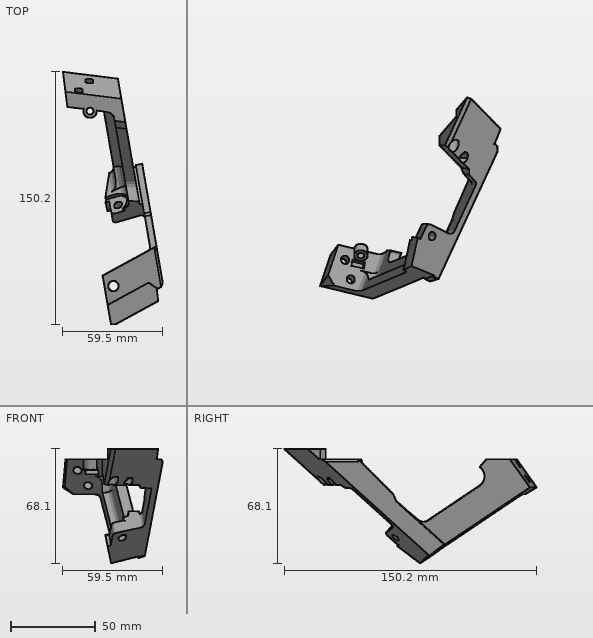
import cadquery as cq
import math


REACH = 400.0
FAR = 80.0

SIDE_ANGLE = 9.8
PLATE_ANGLE = 28.6
ARM_ANGLE = -7.1
CLAMP_SIDE_ANGLE = 7.1

BASE_SLOPE = 43.3
CLAMP_SLOPE = 55.3

PAD_TOP = 68.08
DECK_TOP = 61.9
BASE_ORIGIN = (30.6, -0.35, PAD_TOP)

BLOCK_LEFT = 28.1
FOOT_LEFT = 39.6
LEDGE_LEFT = 45.5
WEB_LEFT = 50.9
ARM_RIGHT = 57.1
RAIL_LEFT = 58.8
RAIL_RIGHT = 62.75

BLOCK_DEPTH = 29.2
PAD_DEPTH = 12.4
PAD_END = ((29.9, PAD_DEPTH), (32.6, 7.1), (29.7, 0), (29.7, -1))
NOSE_X = 30.0
RAIL_EDGE_CHAMFER = 1.5
BACK_CORNER_RADIUS = 2.1
BLOCK_HOLE_D = 6.0
BLOCK_HOLE_AT = (30.0, 22.8)
BLIND_HOLE_D = 5.05
BLIND_HOLE_AT = (39.0, 28.3)
BLIND_HOLE_TOP = 50.9

RAIL_TOP = ((34.0, DECK_TOP), (55.05, 41.2), (56.9, 37.1), (86.1, 11.2))
RAIL_END_FOOT = (77.1, 4.4)
RAIL_START = 34.0
RAIL_BOTTOM = -20.0

FOOT_THICKNESS = 10.3
FOOT_START = 57.0
FOOT_STOP = 115.0
LUG_CORNER = (28.7, 84.3)
LUG_FALL = 0.3
LUG_ANGLE = 60.65
LUG_LEAN = 10.5
FOOT_CORNER_RADIUS = 2.5
FOOT_HOLE_D = 4.92
FOOT_HOLE_AT = (36.1, 77.15)
SPOTFACE_LEVEL = 8.0
SPOTFACE_RADIUS = 6.7

BLOCK_EDGE = ((-FAR, 31.6), (29.0, 31.6), (31.3, 34.0), (FAR, 36.1))
FOOT_EDGE = ((FAR, 57.8), (28.1, 73.4), (-FAR, 73.4))
WINDOW_HEIGHT = 25.0
WINDOW_FOOT_RADIUS = 3.0
WINDOW_BLOCK_RADIUS = 1.5

CLAMP_TOE = (149.05, 45.1)
CLAMP_THICKNESS = 7.3
CLAMP_SIDE = 18.5
CLAMP_BEVEL_UP = 5.5
CLAMP_BEVEL_ALONG = 5.6
CLAMP_HOLE_D = 4.92
CLAMP_HOLES = ((-7.83, 17.3), (-2.33, 6.3))
ARM_HEIGHT = 17.5
DECK_END = 11.1
HORN_TIP = (17.0, 26.5)
HORN_MIDDLE = (17.5, 20.9)
HORN_END = (24.0, ARM_HEIGHT)
HEEL_START = (58.4, ARM_HEIGHT)
HEEL_MIDDLE = (62.5, 18.5)
HEEL_END = (64.6, 21.3)
ARM_END_TOP = (66.5, 28.9)
ARM_END = 90.0
ARM_SIDE_RADIUS = 4.5
LEDGE_HEIGHT = 6.4
LEDGE_RADIUS = 4.3
LEDGE_OUTLINE = ((CLAMP_THICKNESS, 13.0), (14.6, LEDGE_HEIGHT), (58.9, LEDGE_HEIGHT), (95.0, 28.4))
RECESS_TOP = 50.0

BOSS_AT = (16.1, 126.8)
BOSS_D = 8.1
BOSS_HOLE_D = 4.0
BOSS_HEIGHT = 6.2
RELIEF_FLOOR = 14.6
RELIEF_HEIGHT = 4.0
RELIEF_DEPTH = 4.4
RELIEF_SPAN = (-3.4, 4.4)

RAIL_EDGE = (58.0, 35.0, DECK_TOP)
BACK_CORNER = (52.0, 44.6, 50.0)
WINDOW_FOOT_CORNER = (47.0, 73.1, 30.5)
WINDOW_BLOCK_CORNER = (51.3, 48.4, 52.9)
FOOT_CORNER = (29.0, 63.5, 20.5)


def sin(angle):
    return math.sin(math.radians(angle))


def cos(angle):
    return math.cos(math.radians(angle))


def nearest_edge(point):
    return cq.selectors.NearestToPointSelector(point)


def rounded(body, radius, *points):
    """Rounds, all at once, the edges whose middles are nearest to the given points."""
    edges = [body.edges(nearest_edge(point)).val() for point in points]
    return cq.Workplane(body.val().fillet(radius, edges))


def turned(angle, origin=(0, 0, 0)):
    """Level workplane turned about Z."""
    return cq.Workplane(cq.Plane(origin, (cos(angle), sin(angle), 0), (0, 0, 1)))


def between_walls(angle, low, high):
    """Everything between two vertical walls that face along a heading."""
    return turned(angle).center((low + high) / 2, 0).box(high - low, 2 * REACH, 2 * REACH)


def base_plane(level=0.0):
    """Workplane on the base plane: x is its level line, y runs down its slope."""
    normal = (
        -sin(PLATE_ANGLE) * sin(BASE_SLOPE),
        cos(PLATE_ANGLE) * sin(BASE_SLOPE),
        cos(BASE_SLOPE),
    )
    plane = cq.Plane(BASE_ORIGIN, (cos(PLATE_ANGLE), sin(PLATE_ANGLE), 0), normal)
    return cq.Workplane(plane).workplane(offset=level)


def plate(outline, thickness, level=0.0):
    """Plate standing square on the base plane."""
    return base_plane(level).polyline(outline).close().extrude(thickness)


def below_base():
    return base_plane().rect(2 * REACH, 2 * REACH).extrude(-REACH)


def above_foot():
    return base_plane(FOOT_THICKNESS).rect(2 * REACH, 2 * REACH).extrude(REACH)


def arm_profile():
    """Upright workplane at the clamp plate's toe: x runs inward along the arm, y up the clamp plate."""
    toe_reach, toe_height = CLAMP_TOE
    toe = (-sin(ARM_ANGLE) * toe_reach, cos(ARM_ANGLE) * toe_reach, toe_height)
    inward = (sin(ARM_ANGLE) * sin(CLAMP_SLOPE), -cos(ARM_ANGLE) * sin(CLAMP_SLOPE), -cos(CLAMP_SLOPE))
    return cq.Workplane(cq.Plane(toe, inward, (-cos(ARM_ANGLE), -sin(ARM_ANGLE), 0)))


def arm_prism(outline):
    return arm_profile().polyline(outline).close().extrude(REACH, both=True)


def below_arm():
    return arm_prism([(-REACH, 0), (REACH, 0), (REACH, -REACH), (-REACH, -REACH)])


def wall_point(angle, wall, inward, up):
    """Where a line across the arm, at a profile point, meets a wall facing along a heading."""
    reach = CLAMP_TOE[0] - inward * sin(CLAMP_SLOPE) - up * cos(CLAMP_SLOPE)
    height = CLAMP_TOE[1] - inward * cos(CLAMP_SLOPE) + up * sin(CLAMP_SLOPE)
    spread = cos(angle - ARM_ANGLE)
    return cq.Vector(
        (wall * cos(ARM_ANGLE) - reach * sin(angle)) / spread,
        (wall * sin(ARM_ANGLE) + reach * cos(angle)) / spread,
        height,
    )


def up_to_deck(inward):
    """Distance up the clamp plate at which the deck is reached."""
    return (DECK_TOP - CLAMP_TOE[1] + inward * cos(CLAMP_SLOPE)) / sin(CLAMP_SLOPE)


def upright_cylinder(diameter, place, bottom, top):
    return cq.Workplane(origin=(*place, bottom)).circle(diameter / 2).extrude(top - bottom)


def make_nose_cut():
    """Removes the sharp edge between base plane and block side with a facet level in X."""
    side_normal = turned(SIDE_ANGLE).plane.xDir
    nose_edge = side_normal.cross(base_plane().plane.zDir)
    facet_normal = cq.Vector(1, 0, 0).cross(nose_edge)
    if facet_normal.y > 0:
        facet_normal = -facet_normal
    facet = cq.Plane((NOSE_X, 0, PAD_TOP), (1, 0, 0), facet_normal)
    return cq.Workplane(facet).rect(REACH, REACH).extrude(FAR)


def make_block():
    """Block with a level deck, a raised pad and a vertical back wall."""
    plan_origin = (BASE_ORIGIN[0], BASE_ORIGIN[1], 0)
    block = turned(PLATE_ANGLE, plan_origin).center(0, BLOCK_DEPTH / 2)
    block = block.rect(2 * REACH, BLOCK_DEPTH).extrude(DECK_TOP)
    pad_outline = [(-FAR, PAD_DEPTH), *PAD_END, (-FAR, PAD_END[-1][1])]
    pad = turned(PLATE_ANGLE, plan_origin).polyline(pad_outline).close().extrude(PAD_TOP)
    block = block.union(pad).intersect(between_walls(SIDE_ANGLE, BLOCK_LEFT, RAIL_RIGHT))
    block = block.cut(below_base())
    block = block.edges(nearest_edge(RAIL_EDGE)).chamfer(RAIL_EDGE_CHAMFER)
    return block.cut(make_nose_cut())


def make_rail():
    """Thin side wall joining block and foot, higher next to the block."""
    along = turned(SIDE_ANGLE).plane
    profile = cq.Workplane(cq.Plane((0, 0, 0), along.yDir, along.xDir)).workplane(offset=RAIL_LEFT)
    outline = [*RAIL_TOP, RAIL_END_FOOT, (RAIL_END_FOOT[0], RAIL_BOTTOM), (RAIL_START, RAIL_BOTTOM)]
    rail = profile.polyline(outline).close().extrude(RAIL_RIGHT - RAIL_LEFT)
    return rail.cut(below_base())


def make_window():
    """Opening between block and foot, square to the base plane and ending at the rail."""
    window = plate([*BLOCK_EDGE, *FOOT_EDGE], WINDOW_HEIGHT, -1)
    window = window.intersect(between_walls(SIDE_ANGLE, -REACH, RAIL_LEFT))
    window = rounded(window, WINDOW_FOOT_RADIUS, WINDOW_FOOT_CORNER)
    return rounded(window, WINDOW_BLOCK_RADIUS, WINDOW_BLOCK_CORNER)


def make_foot():
    """Foot plate whose end widens into a lug with a leaning side wall."""
    foot = plate([(0, FOOT_START), (FAR, FOOT_START), (FAR, FOOT_STOP), (0, FOOT_STOP)], FOOT_THICKNESS)
    lug_along, lug_down = LUG_CORNER
    step_left = (0, lug_down + lug_along * LUG_FALL)
    step_right = (FAR, lug_down - (FAR - lug_along) * LUG_FALL)
    notch = plate([(0, FOOT_START), (FAR, FOOT_START), step_right, step_left], FOOT_THICKNESS)
    notch = notch.intersect(between_walls(SIDE_ANGLE, -REACH, FOOT_LEFT))
    lug_wall = base_plane().center(*LUG_CORNER).transformed(rotate=(0, 0, LUG_ANGLE))
    lug_wall = lug_wall.transformed(rotate=(LUG_LEAN, 0, 0))
    beyond_lug = lug_wall.center(0, FAR / 2).box(2 * FAR, FAR, FAR)
    foot = foot.cut(notch).cut(beyond_lug)
    return foot.intersect(between_walls(SIDE_ANGLE, -REACH, RAIL_LEFT))


def make_spotface():
    """Round pocket about the foot hole, opened straight out to the free side."""
    heading = -math.degrees(math.atan(LUG_FALL))
    floor = base_plane(SPOTFACE_LEVEL).center(*FOOT_HOLE_AT).transformed(rotate=(0, 0, heading))
    pocket = floor.circle(SPOTFACE_RADIUS).extrude(FOOT_THICKNESS)
    opening = floor.center(-FAR / 4, 0).rect(FAR / 2, 2 * SPOTFACE_RADIUS).extrude(FOOT_THICKNESS)
    return pocket.union(opening)


def make_foot_hole():
    return base_plane(-1).center(*FOOT_HOLE_AT).circle(FOOT_HOLE_D / 2).extrude(2 * FOOT_THICKNESS)


def make_arm_blank():
    """Clamp plate and arm at their full width."""
    blank = (
        arm_profile()
        .moveTo(0, 0)
        .lineTo(0, up_to_deck(0))
        .lineTo(DECK_END, up_to_deck(DECK_END))
        .lineTo(*HORN_TIP)
        .threePointArc(HORN_MIDDLE, HORN_END)
        .lineTo(*HEEL_START)
        .threePointArc(HEEL_MIDDLE, HEEL_END)
        .lineTo(*ARM_END_TOP)
        .lineTo(ARM_END, ARM_END_TOP[1])
        .lineTo(ARM_END, 0)
        .close()
        .extrude(REACH, both=True)
    )
    blank = blank.intersect(between_walls(SIDE_ANGLE, -REACH, ARM_RIGHT))
    return blank.intersect(between_walls(CLAMP_SIDE_ANGLE, CLAMP_SIDE, REACH))


def make_arm():
    """Arm narrowed beside the clamp plate, and thinned to a web above a ledge."""
    inner = CLAMP_THICKNESS
    beside = arm_prism([(inner, -FAR), (inner, FAR), (2 * FAR, FAR), (2 * FAR, -FAR)])
    beside = beside.intersect(between_walls(SIDE_ANGLE, -REACH, LEDGE_LEFT))
    arm = make_arm_blank().cut(beside.cut(above_foot()))

    beside = beside.intersect(above_foot())
    beside_edges = ((inner, 0), (90, 20))
    beside_points = [wall_point(SIDE_ANGLE, LEDGE_LEFT, *middle) for middle in beside_edges]
    beside = rounded(beside, ARM_SIDE_RADIUS, *beside_points)

    recess = arm_prism([(inner, RECESS_TOP), *LEDGE_OUTLINE, (LEDGE_OUTLINE[-1][0], RECESS_TOP)])
    recess = recess.intersect(between_walls(SIDE_ANGLE, -REACH, WEB_LEFT)).intersect(above_foot())
    recess_edges = ((inner, 31), (11, 9.7), (36.7, LEDGE_HEIGHT), (64.2, 9.6), (80, 25))
    recess_points = [wall_point(SIDE_ANGLE, WEB_LEFT, *middle) for middle in recess_edges]
    recess = rounded(recess, LEDGE_RADIUS, *recess_points)
    return arm.cut(beside).cut(recess)


def make_clamp_bevel():
    """Tool for the triangular bevel that runs out at the clamp plate's outer lower corner."""
    outer = wall_point(CLAMP_SIDE_ANGLE, CLAMP_SIDE, 0, 0)
    high = wall_point(CLAMP_SIDE_ANGLE, CLAMP_SIDE, CLAMP_THICKNESS, CLAMP_BEVEL_UP)
    low = wall_point(CLAMP_SIDE_ANGLE, CLAMP_SIDE, CLAMP_THICKNESS, 0)
    low = low + turned(ARM_ANGLE).plane.xDir * CLAMP_BEVEL_ALONG
    outward = (high - outer).cross(low - outer)
    if outward.z > 0:
        outward = -outward
    size = 3 * CLAMP_THICKNESS
    return cq.Workplane(cq.Plane(outer, high - outer, outward)).rect(size, size).extrude(size / 2)


def make_clamp_holes():
    profile = arm_profile().plane
    face = cq.Workplane(cq.Plane(profile.origin, -profile.zDir, profile.xDir)).workplane(offset=-1)
    return face.pushPoints(CLAMP_HOLES).circle(CLAMP_HOLE_D / 2).extrude(CLAMP_THICKNESS + 2)


def make_boss_relief():
    """Pocket in the clamp plate's inner face, below the boss."""
    start, stop = RELIEF_SPAN
    corner = (CLAMP_THICKNESS - RELIEF_DEPTH, RELIEF_FLOOR)
    side = arm_profile().workplane(offset=-stop).moveTo(*corner)
    return side.rect(2 * RELIEF_DEPTH, RELIEF_HEIGHT, centered=False).extrude(stop - start)


upper = make_arm().cut(make_clamp_bevel()).cut(make_boss_relief()).union(make_foot())
upper = upper.cut(below_base()).cut(below_arm())
lower = rounded(make_block().union(make_rail()), BACK_CORNER_RADIUS, BACK_CORNER)

body = upper.union(lower).cut(make_window()).cut(make_spotface())
body = rounded(body, FOOT_CORNER_RADIUS, FOOT_CORNER)
body = body.union(upright_cylinder(BOSS_D, BOSS_AT, DECK_TOP - BOSS_HEIGHT, DECK_TOP))

holes = (
    upright_cylinder(BOSS_HOLE_D, BOSS_AT, DECK_TOP - 2 * BOSS_HEIGHT, PAD_TOP),
    upright_cylinder(BLOCK_HOLE_D, BLOCK_HOLE_AT, 0, PAD_TOP),
    upright_cylinder(BLIND_HOLE_D, BLIND_HOLE_AT, BLIND_HOLE_TOP / 2, BLIND_HOLE_TOP),
    make_foot_hole(),
    make_clamp_holes(),
)
for hole in holes:
    body = body.cut(hole)
result = body